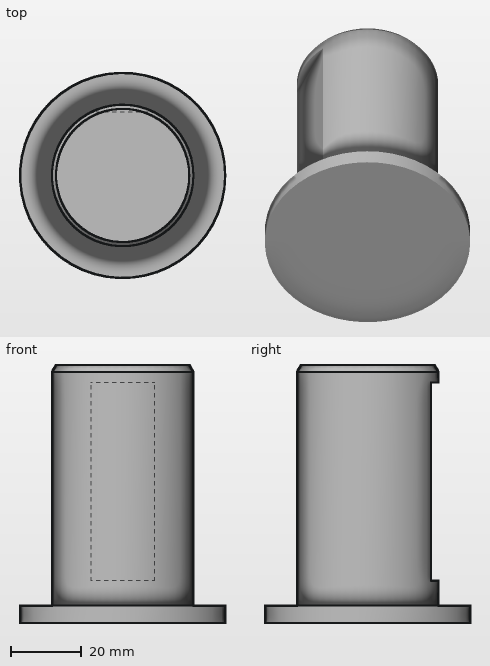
import cadquery as cq

total_height = 73.0
flange_diameter = 58.0
flange_thickness = 5.0
pin_diameter = 40.0

chamfer_height = 2.0
chamfer_inset = 1.2

flat_depth = 2.1
flat_bottom = 12.0
flat_length = 56.0

pin_radius = pin_diameter / 2


def make_headed_pin():
    """Flange and chamfered pin, revolved about Z as one profile."""
    flange_radius = flange_diameter / 2
    return (
        cq.Workplane("XZ")
        .moveTo(0, 0)
        .lineTo(flange_radius, 0)
        .lineTo(flange_radius, flange_thickness)
        .lineTo(pin_radius, flange_thickness)
        .lineTo(pin_radius, total_height - chamfer_height)
        .lineTo(pin_radius - chamfer_inset, total_height)
        .lineTo(0, total_height)
        .close()
        .revolve(360, (0, 0, 0), (0, 1, 0))
    )


def make_flat_cutter():
    """Block as wide as the pin that removes everything beyond the flat."""
    return (
        cq.Workplane("XY")
        .box(pin_diameter, pin_radius, flat_length, centered=(True, False, False))
        .translate((0, pin_radius - flat_depth, flat_bottom))
    )


result = make_headed_pin().cut(make_flat_cutter())